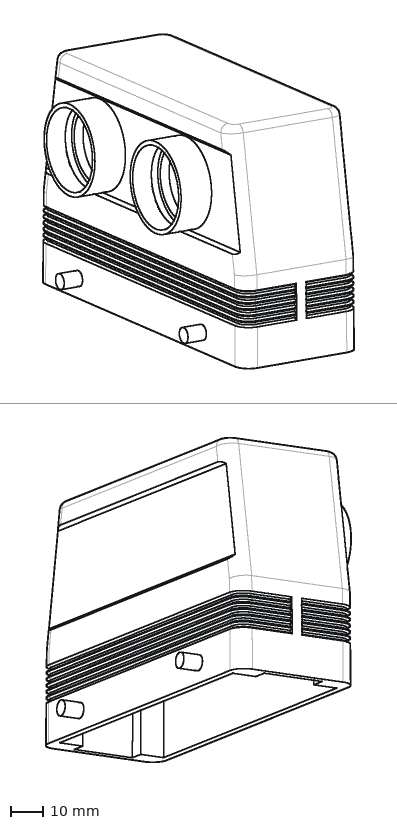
import cadquery as cq

bottom_half_length = 60.0
skirt_half_length = 59.5
top_half_length = 51.2
half_width = 21.4
height = 76.0
skirt_height = 30.0
corner_radius = 5.0
top_edge_radius = 2.6

relief_depth = 1.1
recess_bottom = 37.0
recess_top = 67.0

groove_count = 6
groove_mouth = 1.8
groove_floor = 0.7
groove_band_bottom = 13.2
groove_band_height = 11.8
groove_pitch = (groove_band_height - groove_mouth) / (groove_count - 1)
lowest_groove_z = groove_band_bottom + groove_mouth / 2
bridge_width = 3.6

collar_spacing = 49.9
collar_z = 52.0
collar_tip_y = -31.5
collar_radius = 14.8
bore_radius = 13.3
bore_depth = 9.5
undercut_radius = 13.8
undercut_start = 6.8
entry_radius = 12.4

pin_spacing = 71.8
pin_z = 6.5
pin_radius = 2.5
pin_tip_y = 28.1

wall = 2.6
post_length = 5.0
post_inner_y = 10.5

overcut = 1.2


def hood_block(inset):
    """Drafted skirt and tapered top, made smaller by inset at both ends, both long faces and the top."""
    right_side = [
        (bottom_half_length - inset, 0),
        (skirt_half_length - inset, skirt_height),
        (top_half_length - inset, height - inset),
    ]
    left_side = [(-x, z) for x, z in reversed(right_side)]
    outline = cq.Workplane("XZ").polyline(right_side + left_side).close()
    return outline.extrude(half_width - inset, both=True)


def rounded_body():
    body = hood_block(0).edges("(not |X) and (not |Y)").fillet(corner_radius)
    return body.faces(">Z").edges().fillet(top_edge_radius)


def face_recess():
    """Recess cutter for the -Y face, widening outward at 45 degrees."""
    floor_y = -half_width + relief_depth
    mouth_y = -half_width - overcut
    flare = floor_y - mouth_y
    section = [
        (floor_y, recess_bottom),
        (floor_y, recess_top),
        (mouth_y, recess_top + flare),
        (mouth_y, recess_bottom - flare),
    ]
    return cq.Workplane("YZ").polyline(section).close().extrude(bottom_half_length, both=True)


def groove_ring(z):
    """One trapezoidal groove around the skirt, parted by a bridge at each end."""
    draft_per_height = (bottom_half_length - skirt_half_length) / skirt_height
    half_length = bottom_half_length - draft_per_height * z
    path = (
        cq.Workplane("XY", origin=(0, 0, z))
        .rect(2 * half_length, 2 * half_width)
        .extrude(groove_pitch)
        .edges("|Z")
        .fillet(corner_radius)
        .faces("<Z")
        .wires()
    )
    floor_y = -half_width + relief_depth
    outer_y = -half_width - overcut
    flank_slope = (groove_mouth - groove_floor) / 2 / relief_depth
    half_floor = groove_floor / 2
    half_outer = half_floor + flank_slope * (floor_y - outer_y)
    section = [
        (floor_y, z - half_floor),
        (floor_y, z + half_floor),
        (outer_y, z + half_outer),
        (outer_y, z - half_outer),
    ]
    ring = cq.Workplane("YZ").polyline(section).close().sweep(path)
    bridge_length = 2 * (bottom_half_length + overcut)
    bridge = cq.Workplane("XY", origin=(0, 0, z)).box(bridge_length, bridge_width, 2 * groove_pitch)
    return ring.cut(bridge)


def cylinder_along_y(x, z, radius, start_y, end_y):
    plane = cq.Plane(origin=(x, start_y, z), xDir=(1, 0, 0), normal=(0, 1, 0))
    return cq.Workplane(plane).circle(radius).extrude(end_y - start_y)


def cavity():
    """Hollow of the hood, leaving a post standing in each corner."""
    inner_half_length = bottom_half_length - wall
    inner_half_width = half_width - wall
    post_width = inner_half_width - post_inner_y
    post_spacing_x = 2 * inner_half_length - post_length
    post_spacing_y = 2 * inner_half_width - post_width
    posts = (
        cq.Workplane("XY")
        .rect(post_spacing_x, post_spacing_y, forConstruction=True)
        .vertices()
        .rect(post_length, post_width)
        .extrude(height)
    )
    return hood_block(wall).cut(posts)


inner_y = -half_width + wall
bore_end_y = collar_tip_y + bore_depth
undercut_start_y = collar_tip_y + undercut_start
recess_cutter = face_recess()

result = rounded_body().cut(recess_cutter).cut(recess_cutter.mirror("XZ"))

for index in range(groove_count):
    result = result.cut(groove_ring(lowest_groove_z + index * groove_pitch))

result = result.cut(cavity())

for side in (-1, 1):
    collar_x = side * collar_spacing / 2
    collar = cylinder_along_y(collar_x, collar_z, collar_radius, collar_tip_y, inner_y)
    bore = cylinder_along_y(collar_x, collar_z, bore_radius, collar_tip_y, bore_end_y)
    undercut = cylinder_along_y(collar_x, collar_z, undercut_radius, undercut_start_y, bore_end_y)
    entry = cylinder_along_y(collar_x, collar_z, entry_radius, collar_tip_y, inner_y + overcut)
    result = result.union(collar).cut(bore).cut(undercut).cut(entry)

pin_root_y = half_width - wall / 2
for side in (-1, 1):
    pin_x = side * pin_spacing / 2
    for face in (-1, 1):
        pin = cylinder_along_y(pin_x, pin_z, pin_radius, face * pin_root_y, face * pin_tip_y)
        result = result.union(pin)